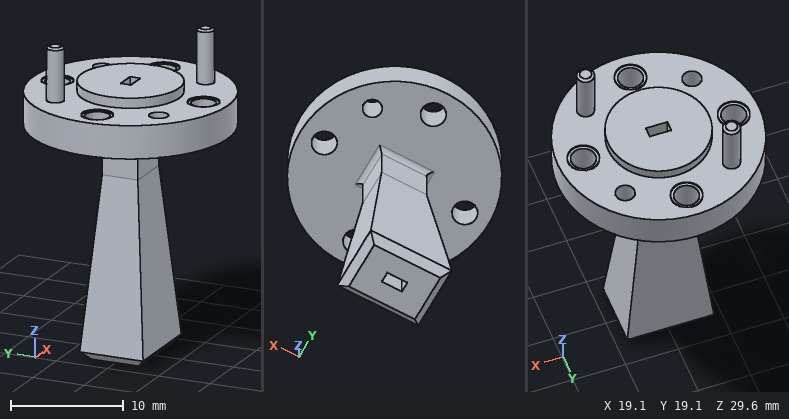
import cadquery as cq
import math

total_height = 29.55
flange_diameter = 19.05
flange_thickness = 3.13
boss_diameter = 9.5
boss_height = 0.95

pitch_radius = 7.12
screw_hole_diameter = 2.27
counterbore_diameter = 2.87
counterbore_depth = 0.12
pin_hole_diameter = 1.75
pin_diameter = 1.6
pin_height = 5.08
pin_chamfer_height = 0.18
pin_chamfer_width = 0.27

neck_size = (4.55, 3.5)
neck_length = 4.25
neck_fillet = 0.5
mouth_size = (8.25, 6.2)
rim_bevel_height = 0.83
rim_bevel_width = 0.77
rim_size = tuple(side - 2 * rim_bevel_width for side in mouth_size)

guide_size = (2.05, 1.0)

flange_top = total_height - pin_height
flange_bottom = flange_top - flange_thickness
neck_bottom = flange_bottom - neck_length


def pitch_point(angle):
    """Point on the pitch circle at an angle in degrees."""
    radians = math.radians(angle)
    return pitch_radius * math.cos(radians), pitch_radius * math.sin(radians)


def cylinder(diameter, bottom, height, center=(0, 0)):
    return cq.Workplane("XY", origin=(*center, bottom)).circle(diameter / 2).extrude(height)


def flared_block(lower_size, upper_size, bottom, top):
    """Rectangular section blending straight from one size to another."""
    return (
        cq.Workplane("XY", origin=(0, 0, bottom))
        .rect(*lower_size)
        .workplane(offset=top - bottom)
        .rect(*upper_size)
        .loft(ruled=True)
    )


def alignment_pin(angle):
    pin = cylinder(pin_diameter, flange_top, pin_height, pitch_point(angle))
    return pin.faces(">Z").chamfer(pin_chamfer_height, pin_chamfer_width)


body = cylinder(flange_diameter, flange_bottom, flange_thickness)
neck = cq.Workplane("XY", origin=(0, 0, neck_bottom)).rect(*neck_size).extrude(neck_length)
body = body.union(neck)
neck_root = cq.selectors.BoxSelector(
    (-neck_size[0], -neck_size[1], flange_bottom - neck_fillet),
    (neck_size[0], neck_size[1], flange_bottom + neck_fillet),
)
body = body.edges("|X or |Y").edges(neck_root).fillet(neck_fillet)

body = body.union(cylinder(boss_diameter, flange_top, boss_height))
body = body.union(flared_block(mouth_size, neck_size, rim_bevel_height, neck_bottom))
body = body.union(flared_block(rim_size, mouth_size, 0, rim_bevel_height))

for angle in (0, 90, 180, 270):
    point = pitch_point(angle)
    body = body.cut(cylinder(screw_hole_diameter, flange_bottom, flange_thickness, point))
    body = body.cut(
        cylinder(counterbore_diameter, flange_top - counterbore_depth, counterbore_depth, point)
    )

for angle in (45, 225):
    body = body.cut(cylinder(pin_hole_diameter, flange_bottom, flange_thickness, pitch_point(angle)))
for angle in (135, 315):
    body = body.union(alignment_pin(angle))

guide = cq.Workplane("XY").rect(*guide_size).extrude(total_height)
result = body.cut(guide)